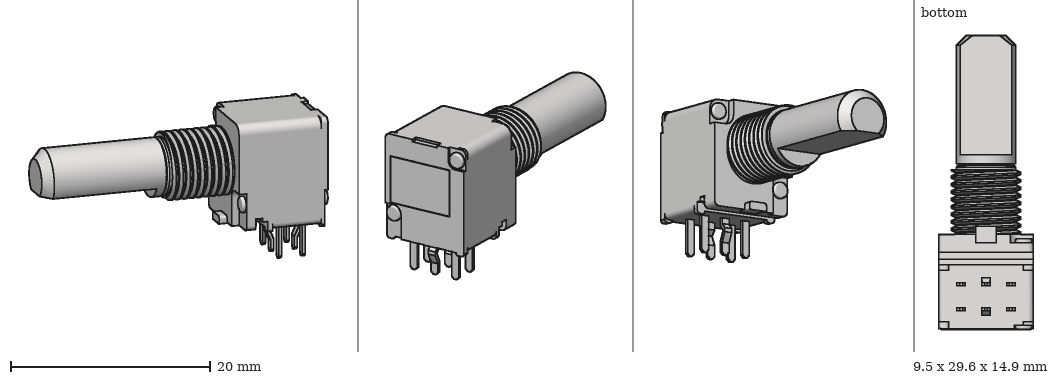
import cadquery as cq


BODY_WIDTH = 9.5
HALF_WIDTH = BODY_WIDTH / 2
BODY_TOP = 4.85
BODY_BOTTOM = -6.25
BODY_BACK = 9.45
PLATE_THICKNESS = 0.7
PLATE_FRONT = BODY_BACK - PLATE_THICKNESS
TOP_ROUNDING = 1.0
BOTTOM_ROUNDING = 0.55
PLATE_ROUNDING = 0.55

SLOT_FRONT = 1.8
SLOT_STEP = 2.5
SLOT_BACK = 3.05
SLOT_CEILING = -5.0
SLOT_STEP_CEILING = -5.4
NOTCH_WIDTH = 2.95
NOTCH_DEPTH = 0.25

FOOT_WIDTH = 1.0
FOOT_BOTTOM = -6.55
FOOT_ROUNDING = 0.38
FRONT_FOOT_BACK = 3.6

RIVET_X = 3.78
RIVET_Z = 3.63
RIVET_RADIUS = 0.83
RIVET_ROUNDING = 0.2
RIVET_FRONT_HEIGHT = 0.4
FRONT_POCKET_DEPTH = 0.82
FRONT_POCKET_X = 2.43
FRONT_POCKET_Z = 2.26
FRONT_POCKET_ROUNDING = 1.0
BACK_POCKET_DEPTH = 0.33
BACK_POCKET_ROUNDING = 0.95
BACK_POCKET_X = RIVET_X - BACK_POCKET_ROUNDING
BACK_POCKET_Z = RIVET_Z - BACK_POCKET_ROUNDING
BACK_PROJECTION = 0.1

BACK_PAD_LEFT = -3.05
BACK_PAD_RIGHT = 4.07
BACK_PAD_HEIGHT = 5.0

TAB_WIDTH = 2.08
TAB_TOP = -5.53
TAB_BOTTOM = -6.37
TAB_REACH = 0.83
TAB_TOP_ROUNDING = 0.3
TAB_BOTTOM_ROUNDING = 0.15

THREAD_RADIUS = 3.5
THREAD_ROOT_RADIUS = 3.0
THREAD_PITCH = 0.75
THREAD_LENGTH = 6.5
THREAD_CREST_WIDTH = 0.18
THREAD_ROOT_WIDTH = 0.66
THREAD_CREST_PHASE = 0.14
THREAD_LEAD_TURNS = 2
THREAD_TURNS = 12
THREAD_OVERLAP = 0.05
BUSHING_LENGTH = 6.95
BUSHING_CHAMFER = 0.2

SHAFT_RADIUS = 3.0
SHAFT_START = 7.1
SHAFT_END = 20.0
SHAFT_CHAMFER = 1.0
NECK_RADIUS = 2.0
FLAT_Z = -1.5
FLAT_START = 8.0

PIN_ROWS = ((5.0, -1), (7.5, 1))
PIN_SPACING = 2.5
PIN_WIDTH = 0.85
PIN_THICKNESS = 0.32
PIN_BOTTOM = -10.0
PIN_TIP_CHAMFER = 0.28
PIN_EMBEDMENT = 1.0
PIN_ROOT = BODY_BOTTOM + PIN_EMBEDMENT
BEND_REACH = 0.47
BEND_TOP = -6.84
BEND_CREST_TOP = -7.33
BEND_CREST_BOTTOM = -7.74
BEND_BOTTOM = -8.75
BEND_INNER_TOP = -7.0
BEND_INNER_CREST = -7.55
BEND_INNER_BOTTOM = -8.6
BEND_INNER_REACH = 0.15


def block(x_range, y_range, z_range):
    """Box given by its lower and upper limits along each axis."""
    sizes = [high - low for low, high in (x_range, y_range, z_range)]
    corner = (x_range[0], y_range[0], z_range[0])
    return cq.Workplane("XY").box(*sizes, centered=False).translate(corner)


def rod(radius, y_start, y_end):
    """Cylinder on the shaft axis running toward -Y."""
    length = y_start - y_end
    return cq.Workplane("XZ", origin=(0, y_start, 0)).circle(radius).extrude(length)


def half_turn(solid):
    """Copy of a solid turned half a revolution about the shaft axis."""
    return solid.rotate((0, 0, 0), (0, 1, 0), 180)


def make_housing():
    full_width = (-HALF_WIDTH, HALF_WIDTH)
    height = (BODY_BOTTOM, BODY_TOP)
    body = block(full_width, (0, PLATE_FRONT), height)
    body = body.edges("|Y and >Z").fillet(TOP_ROUNDING)
    body = body.edges("|Y and <Z").fillet(BOTTOM_ROUNDING)
    plate = block(full_width, (PLATE_FRONT, BODY_BACK), height)
    plate = plate.edges("|Y and >Z").fillet(PLATE_ROUNDING)
    notch = block(
        (-NOTCH_WIDTH / 2, NOTCH_WIDTH / 2),
        (PLATE_FRONT, BODY_BACK),
        (BODY_TOP - NOTCH_DEPTH, BODY_TOP),
    )
    slot = block(full_width, (SLOT_FRONT, SLOT_STEP), (BODY_BOTTOM, SLOT_CEILING))
    slot_step = block(full_width, (SLOT_STEP, SLOT_BACK), (BODY_BOTTOM, SLOT_STEP_CEILING))
    return body.union(plate.cut(notch)).cut(slot).cut(slot_step)


def make_feet():
    feet = cq.Workplane("XY")
    for y_range in ((SLOT_BACK, FRONT_FOOT_BACK), (PLATE_FRONT, BODY_BACK)):
        for x_low in (-HALF_WIDTH, HALF_WIDTH - FOOT_WIDTH):
            foot = block(
                (x_low, x_low + FOOT_WIDTH),
                y_range,
                (FOOT_BOTTOM, BODY_BOTTOM + BOTTOM_ROUNDING),
            )
            feet = feet.union(foot.edges("|Y and <Z").fillet(FOOT_ROUNDING))
    return feet


def corner_pocket(inner_x, inner_z, y_range, rounding):
    """Cutter for the upper -X corner, rounded along its inner edge."""
    reach = BODY_WIDTH
    cutter = block((-reach, -inner_x), y_range, (inner_z, reach))
    return cutter.edges("|Y and >X and <Z").fillet(rounding)


def make_rivet():
    """Rivet with a rounded head at each end, joining both corner pockets."""
    head = FRONT_POCKET_DEPTH - RIVET_FRONT_HEIGHT
    length = BODY_BACK + BACK_PROJECTION - head
    base = cq.Workplane("XZ", origin=(-RIVET_X, head, RIVET_Z))
    rivet = base.circle(RIVET_RADIUS).extrude(-length)
    return rivet.faces("<Y or >Y").edges().fillet(RIVET_ROUNDING)


def make_back_pad():
    return block(
        (BACK_PAD_LEFT, BACK_PAD_RIGHT),
        (BODY_BACK, BODY_BACK + BACK_PROJECTION),
        (-BACK_PAD_HEIGHT / 2, BACK_PAD_HEIGHT / 2),
    )


def make_tab():
    tab = block(
        (-TAB_WIDTH / 2, TAB_WIDTH / 2),
        (-TAB_REACH, FRONT_POCKET_DEPTH),
        (TAB_BOTTOM, TAB_TOP),
    )
    tab = tab.edges("|Y and >Z").fillet(TAB_TOP_ROUNDING)
    return tab.edges("|Y and <Z").fillet(TAB_BOTTOM_ROUNDING)


def make_thread():
    """Right-handed helical ridge, trimmed flat at both ends."""
    base_radius = THREAD_ROOT_RADIUS - THREAD_OVERLAP
    thread_depth = THREAD_RADIUS - THREAD_ROOT_RADIUS
    flank_slope = (THREAD_ROOT_WIDTH - THREAD_CREST_WIDTH) / 2 / thread_depth
    half_base = THREAD_ROOT_WIDTH / 2 + flank_slope * THREAD_OVERLAP
    half_crest = THREAD_CREST_WIDTH / 2
    height = THREAD_TURNS * THREAD_PITCH
    helix = cq.Wire.makeHelix(THREAD_PITCH, height, THREAD_RADIUS)
    ridge = (
        cq.Workplane("XZ")
        .polyline(
            [
                (base_radius, -half_base),
                (THREAD_RADIUS, -half_crest),
                (THREAD_RADIUS, half_crest),
                (base_radius, half_base),
            ]
        )
        .close()
        .sweep(cq.Workplane(obj=helix), isFrenet=True)
    )
    start = THREAD_CREST_PHASE - THREAD_LEAD_TURNS * THREAD_PITCH
    ridge = ridge.translate((0, 0, start)).rotate((0, 0, 0), (1, 0, 0), 90)
    return ridge.intersect(rod(2 * THREAD_RADIUS, 0, -THREAD_LENGTH))


def make_bushing():
    sleeve = rod(THREAD_ROOT_RADIUS, FRONT_POCKET_DEPTH, -BUSHING_LENGTH)
    sleeve = sleeve.faces("<Y").edges().chamfer(BUSHING_CHAMFER)
    return sleeve.union(make_thread())


def make_shaft():
    neck = rod(NECK_RADIUS, -BUSHING_LENGTH, -SHAFT_START)
    shaft = rod(SHAFT_RADIUS, -SHAFT_START, -SHAFT_END)
    shaft = shaft.faces("<Y").edges().chamfer(SHAFT_CHAMFER)
    flat = block(
        (-SHAFT_RADIUS, SHAFT_RADIUS),
        (-SHAFT_END, -FLAT_START),
        (-SHAFT_RADIUS, FLAT_Z),
    )
    return neck.union(shaft.cut(flat))


def pin_outline(x_centre):
    """Flat terminal seen along Y, with a chamfered tip, as a long prism."""
    blade = block(
        (x_centre - PIN_WIDTH / 2, x_centre + PIN_WIDTH / 2),
        (0, BODY_BACK),
        (PIN_BOTTOM, PIN_ROOT),
    )
    return blade.edges("|Y and <Z").chamfer(PIN_TIP_CHAMFER)


def make_straight_pin(x_centre, y_row):
    half = PIN_THICKNESS / 2
    layer = block((-HALF_WIDTH, HALF_WIDTH), (y_row - half, y_row + half), (PIN_BOTTOM, PIN_ROOT))
    return pin_outline(x_centre).intersect(layer)


def make_snap_pin(y_row, side):
    """Central terminal, bent outward so that it grips its hole."""
    outer = PIN_THICKNESS / 2
    profile = [
        (outer, PIN_ROOT),
        (outer, BEND_TOP),
        (outer + BEND_REACH, BEND_CREST_TOP),
        (outer + BEND_REACH, BEND_CREST_BOTTOM),
        (outer, BEND_BOTTOM),
        (outer, PIN_BOTTOM),
        (-outer, PIN_BOTTOM),
        (-outer, BEND_INNER_BOTTOM),
        (outer + BEND_INNER_REACH, BEND_INNER_CREST),
        (-outer, BEND_INNER_TOP),
        (-outer, PIN_ROOT),
    ]
    points = [(y_row + side * offset, z) for offset, z in profile]
    strip = cq.Workplane("YZ").polyline(points).close().extrude(PIN_WIDTH, both=True)
    return strip.intersect(pin_outline(0))


front_pocket = corner_pocket(
    FRONT_POCKET_X, FRONT_POCKET_Z, (0, FRONT_POCKET_DEPTH), FRONT_POCKET_ROUNDING
)
back_pocket = corner_pocket(
    BACK_POCKET_X, BACK_POCKET_Z, (BODY_BACK - BACK_POCKET_DEPTH, BODY_BACK), BACK_POCKET_ROUNDING
)
rivet = make_rivet()

result = make_housing().union(make_feet())
for pocket in (front_pocket, back_pocket):
    result = result.cut(pocket).cut(half_turn(pocket))
result = result.union(rivet).union(half_turn(rivet))
result = result.union(make_back_pad()).union(make_tab())

for y_row, side in PIN_ROWS:
    for x_centre in (-PIN_SPACING, PIN_SPACING):
        result = result.union(make_straight_pin(x_centre, y_row))
    result = result.union(make_snap_pin(y_row, side))

result = result.union(make_bushing()).union(make_shaft())